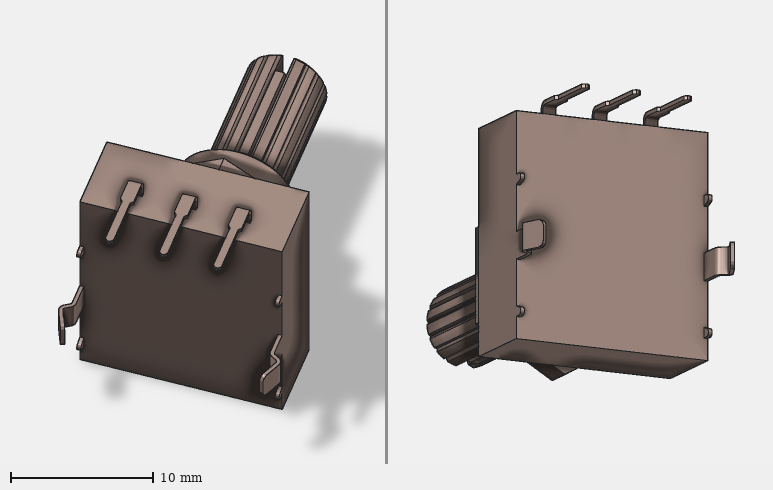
import cadquery as cq
import math


housing_width = 15.0
housing_depth = 6.0
housing_height = 16.5
housing_top = 9.75
rear_face = -housing_depth

bushing_diameter = 9.0
bushing_length = 7.0
bushing_chamfer = 0.5

shaft_diameter = 5.96
shaft_end = 18.0
shaft_chamfer = 0.5
knurl_count = 18
knurl_depth = 0.3
knurl_land_share = 0.67
slot_width = 0.9
slot_depth = 2.0

nut_across_flats = 12.0
nut_thickness = 2.05
nut_offset = 1.5

sheet = 0.3

terminal_pitch = 4.0
terminal_count = 3
terminal_width = 1.0
terminal_tip_width = 0.6
terminal_tip_chamfer = 0.2
terminal_leg_y = -4.0
terminal_rise = 1.4
terminal_end = -10.1
terminal_bend = 0.3

clip_width = 2.0
clip_reach = 0.7
clip_end = -10.3
clip_inner_bend = 0.2
clip_outer_bend = clip_inner_bend + sheet
clip_first_bend_y = -7.7
clip_second_bend_y = -8.53
clip_flare_angle = 60.0
clip_return_angle = 23.0
clip_tip_radius = 0.5

tab_length = 0.7
tab_outer_z = 5.15
tab_tip_radius = 0.3
tab_taper_angle = 20.0


def polar(center, radius, degrees):
    """Point at a distance and direction from a center."""
    angle = math.radians(degrees)
    return (center[0] + radius * math.cos(angle), center[1] + radius * math.sin(angle))


def cylinder_along_y(diameter, start, end):
    """Cylinder on the shaft axis between two Y positions."""
    return (
        cq.Workplane("XZ", origin=(0, start, 0))
        .circle(diameter / 2)
        .extrude(start - end)
    )


def make_housing():
    """Rectangular block behind the mounting face."""
    block = cq.Workplane("XY").box(
        housing_width, housing_depth, housing_height, centered=(True, False, False)
    )
    return block.translate((0, rear_face, housing_top - housing_height))


def make_bushing():
    """Cylinder on the mounting face with a chamfered end."""
    return cylinder_along_y(bushing_diameter, 0, bushing_length).faces(">Y").chamfer(bushing_chamfer)


def make_shaft():
    """Chamfered shaft with V grooves along it and a slot across its end."""
    radius = shaft_diameter / 2
    length = shaft_end - bushing_length
    shaft = cylinder_along_y(shaft_diameter, bushing_length, shaft_end).faces(">Y").chamfer(shaft_chamfer)

    pitch = 360 / knurl_count
    groove_half_angle = pitch * (1 - knurl_land_share) / 2
    mouth_x, mouth_half = polar((0, 0), radius, groove_half_angle)
    root_x = radius - knurl_depth
    over_x = mouth_x + knurl_depth
    over_half = mouth_half * (over_x - root_x) / (mouth_x - root_x)
    groove = (
        cq.Workplane("XZ", origin=(0, bushing_length, 0))
        .polyline([(root_x, 0), (over_x, over_half), (over_x, -over_half)])
        .close()
        .extrude(-length)
    )
    for i in range(knurl_count):
        shaft = shaft.cut(groove.rotate((0, 0, 0), (0, 1, 0), i * pitch))

    slot = cq.Workplane("XY").box(slot_width, 2 * slot_depth, shaft_diameter)
    return shaft.cut(slot.translate((0, shaft_end, 0)))


def make_terminal():
    """Strip that leaves the housing top, bends toward -Y and narrows to a tip."""
    front = terminal_leg_y + sheet / 2
    back = front - sheet
    top = housing_top + terminal_rise
    underside = top - sheet
    bend_center = (back - terminal_bend, underside - terminal_bend)
    outer_bend = terminal_bend + sheet
    strip = (
        cq.Workplane("YZ", origin=(-terminal_width / 2, 0, 0))
        .moveTo(back, housing_top)
        .lineTo(front, housing_top)
        .lineTo(front, bend_center[1])
        .threePointArc(polar(bend_center, outer_bend, 45), (bend_center[0], top))
        .lineTo(terminal_end, top)
        .lineTo(terminal_end, underside)
        .lineTo(bend_center[0], underside)
        .threePointArc(polar(bend_center, terminal_bend, 45), (back, bend_center[1]))
        .close()
        .extrude(terminal_width)
    )
    wide = terminal_width / 2
    narrow = terminal_tip_width / 2
    tip = narrow - terminal_tip_chamfer
    right_side = [
        (wide, front),
        (wide, rear_face),
        (narrow, rear_face - (wide - narrow)),
        (narrow, terminal_end + terminal_tip_chamfer),
        (tip, terminal_end),
    ]
    left_side = [(-x, y) for x, y in reversed(right_side)]
    plan = (
        cq.Workplane("XY", origin=(0, 0, housing_top))
        .polyline(right_side + left_side)
        .close()
        .extrude(terminal_rise)
    )
    return strip.intersect(plan)


def make_clip():
    """Spring clip on the +X side: straight, flared outward, then bent back to its tip."""
    outside = housing_width / 2
    inside = outside - sheet
    first = (outside + clip_inner_bend, clip_first_bend_y)
    second = (outside + clip_reach - clip_outer_bend, clip_second_bend_y)

    flare_end = 180 + clip_flare_angle
    return_start = clip_flare_angle
    return_end = -clip_return_angle
    flare_mid = (180 + flare_end) / 2
    return_mid = (return_start + return_end) / 2

    outer_return = polar(second, clip_outer_bend, return_end)
    tip_length = (outer_return[1] - clip_end) / math.cos(math.radians(clip_return_angle))
    tip_direction = 270 - clip_return_angle
    outer_tip = polar(outer_return, tip_length, tip_direction)
    inner_tip = polar(outer_tip, sheet, 180 - clip_return_angle)
    clip = (
        cq.Workplane("XY", origin=(0, 0, -clip_width / 2))
        .moveTo(inside, rear_face)
        .lineTo(outside, rear_face)
        .lineTo(outside, clip_first_bend_y)
        .threePointArc(polar(first, clip_inner_bend, flare_mid), polar(first, clip_inner_bend, flare_end))
        .lineTo(*polar(second, clip_outer_bend, return_start))
        .threePointArc(polar(second, clip_outer_bend, return_mid), outer_return)
        .lineTo(*outer_tip)
        .lineTo(*inner_tip)
        .lineTo(*polar(second, clip_inner_bend, return_end))
        .threePointArc(
            polar(second, clip_inner_bend, return_mid), polar(second, clip_inner_bend, return_start)
        )
        .lineTo(*polar(first, clip_outer_bend, flare_end))
        .threePointArc(polar(first, clip_outer_bend, flare_mid), (inside, clip_first_bend_y))
        .close()
        .extrude(clip_width)
    )
    tip_center = ((outer_tip[0] + inner_tip[0]) / 2, (outer_tip[1] + inner_tip[1]) / 2)
    for side in (-1, 1):
        corner = cq.selectors.NearestToPointSelector((*tip_center, side * clip_width / 2))
        clip = clip.edges(corner).fillet(clip_tip_radius)
    return clip


def make_tab():
    """Small tab above the clip on the +X side, with a round tip and a tapered underside."""
    center = (rear_face - tab_length + tab_tip_radius, tab_outer_z - tab_tip_radius)
    taper_start = polar(center, tab_tip_radius, 270 - tab_taper_angle)
    taper_drop = (rear_face - taper_start[0]) * math.tan(math.radians(tab_taper_angle))
    return (
        cq.Workplane("YZ", origin=(housing_width / 2 - sheet, 0, 0))
        .moveTo(rear_face, tab_outer_z)
        .lineTo(center[0], tab_outer_z)
        .threePointArc(polar(center, tab_tip_radius, 180), taper_start)
        .lineTo(rear_face, taper_start[1] - taper_drop)
        .close()
        .extrude(sheet)
    )


def make_potentiometer():
    """Housing, bushing, shaft, terminals, clips and tabs joined as one solid."""
    body = make_housing().union(make_bushing()).union(make_shaft())

    terminal = make_terminal()
    first_terminal_x = -terminal_pitch * (terminal_count - 1) / 2
    for i in range(terminal_count):
        body = body.union(terminal.translate((first_terminal_x + i * terminal_pitch, 0, 0)))

    tab = make_tab()
    right_sheet = [make_clip(), tab, tab.mirror("XY")]
    for piece in right_sheet:
        body = body.union(piece).union(piece.mirror("YZ"))
    return body


def make_nut():
    """Hexagonal nut with corners pointing up and down, fitted around the bushing."""
    across_corners = nut_across_flats / math.cos(math.radians(30))
    hexagon = (
        cq.Workplane("XZ", origin=(0, nut_offset, 0))
        .polygon(6, across_corners)
        .extrude(-nut_thickness)
        .rotate((0, 0, 0), (0, 1, 0), 30)
    )
    return hexagon.cut(cylinder_along_y(bushing_diameter, nut_offset, nut_offset + nut_thickness))


potentiometer = make_potentiometer()
nut = make_nut()

result = cq.Compound.makeCompound([potentiometer.val(), nut.val()])